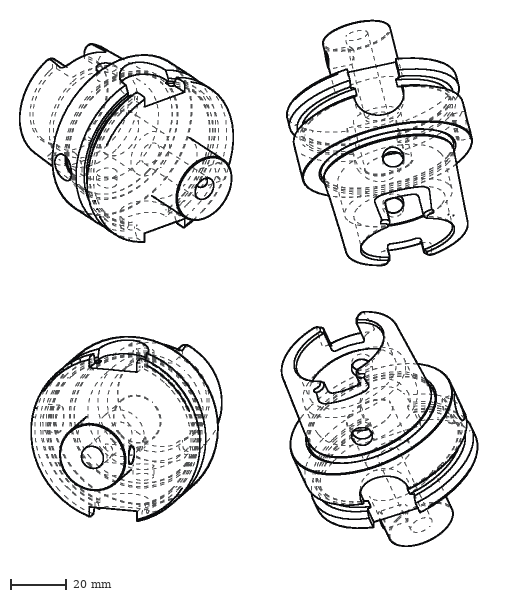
import cadquery as cq
import math

TOTAL_LENGTH = 81.9

TAPER_FRONT_RADIUS = 22.7
TAPER_END_RADIUS = 24.2
TAPER_LENGTH = 30.0
RIM_ROUNDING = 1.2
RELIEF_RADIUS = 23.8
RELIEF_SLOPE = 0.65
RELIEF_FILLET = 0.8

FLANGE_DIAMETER = 63.0
FLANGE_RADIUS = FLANGE_DIAMETER / 2
FLANGE_START = 32.0
FLANGE_END = 57.9
FACE_RECESS_RADIUS = 25.3
FACE_RECESS_DEPTH = 0.4
FLANGE_FRONT_CHAMFER = 0.25
FLANGE_BACK_FILLET = 0.8
GROOVE_START = 46.5
GROOVE_END = 53.15
GROOVE_FLANK_ANGLE = 30.0
GROOVE_FLANK_DEPTH = 2.5
GROOVE_FLOOR_RADIUS = 27.3
GROOVE_FLOOR_FILLET = 0.6

NOSE_RADIUS = 12.5
NOSE_FILLET = 4.0
NOSE_CHAMFER = 0.3

MOUTH_RADIUS = 16.95
MOUTH_CHAMFER = 0.5
MOUTH_CHAMFER_LENGTH = 1.1
MOUTH_LENGTH = 13.3
CHAMBER_RADIUS = 20.0
CHAMBER_SHOULDER_LENGTH = 1.6
CAVITY_DEPTH = 30.2
CAVITY_FLOOR_RADIUS = 15.7
THREAD_RADIUS = 8.8
THREAD_END = 49.1
THREAD_CHAMFER = 0.25
BORE_RADIUS = 4.2

SLOT_WIDTH = 12.5
SLOT_WALL_HEIGHT = 17.7
SLOT_CHAMFER = 1.1
SLOT_LIP_RADIUS = 3.0
SLOT_LIP_HALF_WIDTH = 16.4
SLOT_FLOOR_FILLET = 1.5
UPPER_SLOT_DEPTH = 10.15
LOWER_SLOT_DEPTH = 6.2

CROSS_HOLE_X = 22.9
CROSS_HOLE_RADIUS = 3.8

POCKET_HALF_WIDTH = 9.0
POCKET_START = 36.8
POCKET_FLOOR = 26.2

CHIP_HOLE_X = 38.8
CHIP_HOLE_RADIUS = 5.0
CHIP_HOLE_DEPTH = 5.0
CHIP_HOLE_FLOOR_CHAMFER = 0.3

SCREW_X = 74.8
SCREW_RADIUS = 3.3

CLEARANCE = 4.1


def outer_body():
    flank = GROOVE_FLANK_DEPTH * math.tan(math.radians(GROOVE_FLANK_ANGLE))
    flank_bottom = FLANGE_RADIUS - GROOVE_FLANK_DEPTH
    left_wall = GROOVE_START + flank
    right_wall = GROOVE_END - flank
    recess_bottom = FLANGE_START + FACE_RECESS_DEPTH
    return (
        cq.Workplane("XY")
        .lineTo(0, TAPER_FRONT_RADIUS - RIM_ROUNDING)
        .radiusArc((RIM_ROUNDING, TAPER_FRONT_RADIUS), RIM_ROUNDING)
        .lineTo(TAPER_LENGTH, TAPER_END_RADIUS)
        .lineTo(TAPER_LENGTH + RELIEF_SLOPE, RELIEF_RADIUS)
        .lineTo(recess_bottom - RELIEF_FILLET, RELIEF_RADIUS)
        .radiusArc((recess_bottom, RELIEF_RADIUS + RELIEF_FILLET), -RELIEF_FILLET)
        .lineTo(FLANGE_START, FACE_RECESS_RADIUS)
        .lineTo(FLANGE_START, FLANGE_RADIUS - FLANGE_FRONT_CHAMFER)
        .lineTo(FLANGE_START + FLANGE_FRONT_CHAMFER, FLANGE_RADIUS)
        .lineTo(GROOVE_START, FLANGE_RADIUS)
        .lineTo(left_wall, flank_bottom)
        .lineTo(left_wall, GROOVE_FLOOR_RADIUS + GROOVE_FLOOR_FILLET)
        .radiusArc((left_wall + GROOVE_FLOOR_FILLET, GROOVE_FLOOR_RADIUS), -GROOVE_FLOOR_FILLET)
        .lineTo(right_wall - GROOVE_FLOOR_FILLET, GROOVE_FLOOR_RADIUS)
        .radiusArc((right_wall, GROOVE_FLOOR_RADIUS + GROOVE_FLOOR_FILLET), -GROOVE_FLOOR_FILLET)
        .lineTo(right_wall, flank_bottom)
        .lineTo(GROOVE_END, FLANGE_RADIUS)
        .lineTo(FLANGE_END - FLANGE_BACK_FILLET, FLANGE_RADIUS)
        .radiusArc((FLANGE_END, FLANGE_RADIUS - FLANGE_BACK_FILLET), FLANGE_BACK_FILLET)
        .lineTo(FLANGE_END, NOSE_RADIUS + NOSE_FILLET)
        .radiusArc((FLANGE_END + NOSE_FILLET, NOSE_RADIUS), -NOSE_FILLET)
        .lineTo(TOTAL_LENGTH - NOSE_CHAMFER, NOSE_RADIUS)
        .lineTo(TOTAL_LENGTH, NOSE_RADIUS - NOSE_CHAMFER)
        .lineTo(TOTAL_LENGTH, 0)
        .close()
        .revolve(360, (0, 0, 0), (1, 0, 0))
    )


def cavity():
    """Everything hollow along the axis: mouth, clamping chamber, thread and bore."""
    floor_fillet = CHAMBER_RADIUS - CAVITY_FLOOR_RADIUS
    return (
        cq.Workplane("XY")
        .lineTo(0, MOUTH_RADIUS + MOUTH_CHAMFER)
        .lineTo(MOUTH_CHAMFER_LENGTH, MOUTH_RADIUS)
        .lineTo(MOUTH_LENGTH, MOUTH_RADIUS)
        .lineTo(MOUTH_LENGTH + CHAMBER_SHOULDER_LENGTH, CHAMBER_RADIUS)
        .lineTo(CAVITY_DEPTH - floor_fillet, CHAMBER_RADIUS)
        .radiusArc((CAVITY_DEPTH, CAVITY_FLOOR_RADIUS), floor_fillet)
        .lineTo(CAVITY_DEPTH, THREAD_RADIUS + THREAD_CHAMFER)
        .lineTo(CAVITY_DEPTH + THREAD_CHAMFER, THREAD_RADIUS)
        .lineTo(THREAD_END, THREAD_RADIUS)
        .lineTo(THREAD_END, BORE_RADIUS)
        .lineTo(TOTAL_LENGTH, BORE_RADIUS)
        .lineTo(TOTAL_LENGTH, 0)
        .close()
        .revolve(360, (0, 0, 0), (1, 0, 0))
    )


def slot_outline(x, growth):
    """Slot outline at x: its walls roll outward into a wider lip; growth moves every side outward."""
    wall = SLOT_WIDTH / 2 + growth
    lip_radius = SLOT_LIP_RADIUS - growth
    lip_start = wall + lip_radius
    lip_height = SLOT_WALL_HEIGHT + lip_radius
    arc_offset = lip_radius * (1 - math.sqrt(0.5))
    side = SLOT_LIP_HALF_WIDTH
    top = TAPER_END_RADIUS + CLEARANCE
    bottom = MOUTH_RADIUS - CLEARANCE
    return (
        cq.Workplane("YZ", origin=(x, 0, 0))
        .moveTo(-wall, bottom)
        .lineTo(wall, bottom)
        .lineTo(wall, SLOT_WALL_HEIGHT)
        .threePointArc((wall + arc_offset, lip_height - arc_offset), (lip_start, lip_height))
        .lineTo(side, lip_height)
        .lineTo(side, top)
        .lineTo(-side, top)
        .lineTo(-side, lip_height)
        .lineTo(-lip_start, lip_height)
        .threePointArc((-wall - arc_offset, lip_height - arc_offset), (-wall, SLOT_WALL_HEIGHT))
        .close()
    )


def drive_slot(depth):
    """Slot open at the rim and at the top, with a rounded floor and a chamfered mouth."""
    slot = slot_outline(0, 0).extrude(depth)
    slot = slot.faces(">X").edges("not(<Z or >Z)").fillet(SLOT_FLOOR_FILLET)
    rim = slot_outline(0, SLOT_CHAMFER).wires().val()
    inside = slot_outline(SLOT_CHAMFER, 0).wires().val()
    mouth = cq.Workplane(cq.Solid.makeLoft([rim, inside], True))
    return slot.union(mouth)


def cross_hole():
    """One radial hole, opening upward."""
    return cq.Workplane("XY").center(CROSS_HOLE_X, 0).circle(CROSS_HOLE_RADIUS).extrude(FLANGE_RADIUS)


def flange_pocket():
    """Flat pocket with a round end, open at the back of the flange."""
    round_center = POCKET_START + POCKET_HALF_WIDTH
    return (
        cq.Workplane("XY", origin=(0, 0, POCKET_FLOOR))
        .moveTo(round_center, -POCKET_HALF_WIDTH)
        .lineTo(FLANGE_END, -POCKET_HALF_WIDTH)
        .lineTo(FLANGE_END, POCKET_HALF_WIDTH)
        .lineTo(round_center, POCKET_HALF_WIDTH)
        .threePointArc((POCKET_START, 0), (round_center, -POCKET_HALF_WIDTH))
        .close()
        .extrude(FLANGE_RADIUS)
    )


def chip_hole():
    """Blind hole opening toward -Y, with a chamfer around its floor."""
    floor_y = CHIP_HOLE_DEPTH - FLANGE_RADIUS
    return (
        cq.Workplane("XZ", origin=(CHIP_HOLE_X, floor_y, 0))
        .circle(CHIP_HOLE_RADIUS)
        .extrude(CHIP_HOLE_DEPTH + CLEARANCE)
        .faces(">Y")
        .edges()
        .chamfer(CHIP_HOLE_FLOOR_CHAMFER)
    )


def screw_shape():
    """Plain cylinder from the bore out to the crest of the nose."""
    return (
        cq.Workplane("XZ", origin=(SCREW_X, NOSE_RADIUS, 0))
        .circle(SCREW_RADIUS)
        .extrude(NOSE_RADIUS)
        .cut(cq.Workplane("YZ").circle(BORE_RADIUS).extrude(TOTAL_LENGTH))
    )


def flipped(shape):
    return shape.rotate((0, 0, 0), (1, 0, 0), 180)


holder = outer_body().cut(cavity())
for opening in (cross_hole(), flange_pocket()):
    holder = holder.cut(opening).cut(flipped(opening))
holder = holder.cut(drive_slot(UPPER_SLOT_DEPTH)).cut(flipped(drive_slot(LOWER_SLOT_DEPTH)))
holder = holder.cut(chip_hole())

clamping_screw = screw_shape()
holder = holder.cut(clamping_screw)

result = cq.Compound.makeCompound([holder.val(), clamping_screw.val()])